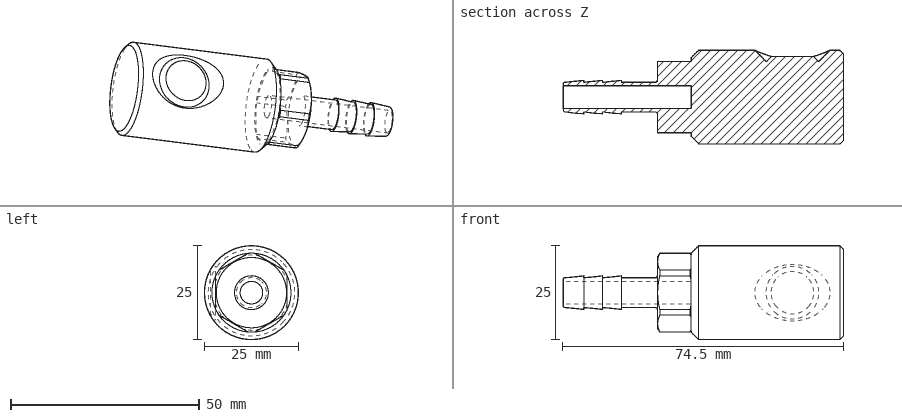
import cadquery as cq
import math

stem_radius = 4.0
bore_radius = 3.0
tip_round = 0.5
barb_radius = 4.5
barb_pitch = 5.0
barb_count = 3
stem_length = 25.0
stem_root_fillet = 0.5

hex_across_flats = 19.0
hex_corner_radius = 10.5
hex_length = 9.0
hex_front_face_radius = 9.35
hex_rear_face_radius = 10.0
hex_chamfer_angle = 30.0

total_length = 74.5
body_radius = 12.5
body_front_chamfer = 2.0
body_rear_chamfer = 1.0

button_x = 60.9
button_top_y = 10.85
button_root_radius = 7.0
recess_mouth_radius = 10.0

hex_start = stem_length
body_start = hex_start + hex_length


def revolve_about_x(profile):
    """Turn a closed (x, radius) profile around the X axis."""
    return profile.close().revolve(360, (0, 0, 0), (1, 0, 0))


def make_stem():
    """Barbed stem with a rounded tip and a fillet where it meets the hexagon."""
    arc_offset = tip_round * (1 - math.sqrt(0.5))
    profile = cq.Workplane("XY").lineTo(0, stem_radius - tip_round)
    profile = profile.threePointArc((arc_offset, stem_radius - arc_offset), (tip_round, stem_radius))
    for barb in range(1, barb_count + 1):
        barb_end = tip_round + barb * barb_pitch
        profile = profile.lineTo(barb_end, barb_radius).lineTo(barb_end, stem_radius)
    root_offset = stem_root_fillet * (1 - math.sqrt(0.5))
    profile = profile.lineTo(hex_start - stem_root_fillet, stem_radius)
    profile = profile.threePointArc(
        (hex_start - root_offset, stem_radius + root_offset),
        (hex_start, stem_radius + stem_root_fillet),
    )
    return revolve_about_x(profile.lineTo(hex_start, 0))


def make_hexagon():
    """Hexagon with flats facing +Y and -Y, trimmed by a cylinder with conical ends."""
    slope = math.tan(math.radians(hex_chamfer_angle))
    front_chamfer = (hex_corner_radius - hex_front_face_radius) * slope
    rear_chamfer = (hex_corner_radius - hex_rear_face_radius) * slope
    across_corners = hex_across_flats / math.cos(math.pi / 6)
    prism = (
        cq.Workplane("YZ", origin=(hex_start, 0, 0))
        .transformed(rotate=(0, 0, 90))
        .polygon(6, across_corners)
        .extrude(hex_length)
    )
    envelope = revolve_about_x(
        cq.Workplane("XY")
        .moveTo(hex_start, 0)
        .lineTo(hex_start, hex_front_face_radius)
        .lineTo(hex_start + front_chamfer, hex_corner_radius)
        .lineTo(body_start - rear_chamfer, hex_corner_radius)
        .lineTo(body_start, hex_rear_face_radius)
        .lineTo(body_start, 0)
    )
    return prism.intersect(envelope)


def make_body():
    """Plain cylinder chamfered at both ends."""
    body = cq.Workplane("YZ", origin=(body_start, 0, 0)).circle(body_radius)
    body = body.extrude(total_length - body_start)
    body = body.faces("<X").chamfer(body_front_chamfer)
    return body.faces(">X").chamfer(body_rear_chamfer)


def cone_along_y(start_y, start_radius, end_y):
    """45 degree cone on the button axis, narrowing from start_y to end_y."""
    height = abs(end_y - start_y)
    direction = cq.Vector(0, math.copysign(1, end_y - start_y), 0)
    base_center = cq.Vector(button_x, start_y, 0)
    cone = cq.Solid.makeCone(start_radius, start_radius - height, height, base_center, direction)
    return cq.Workplane(cone)


def make_button_recess():
    """V-shaped ring left between the conical recess and the conical button inside it."""
    groove_bottom_y = body_radius - (recess_mouth_radius - button_root_radius)
    recess = cone_along_y(body_radius, recess_mouth_radius, groove_bottom_y)
    button = cone_along_y(groove_bottom_y, button_root_radius, button_top_y)
    return recess.cut(button)


def make_stem_bore():
    """Blind bore running from the stem tip to the end of the hexagon."""
    return cq.Workplane("YZ").circle(bore_radius).extrude(body_start)


result = make_stem().union(make_hexagon()).union(make_body())
result = result.cut(make_stem_bore()).cut(make_button_recess())